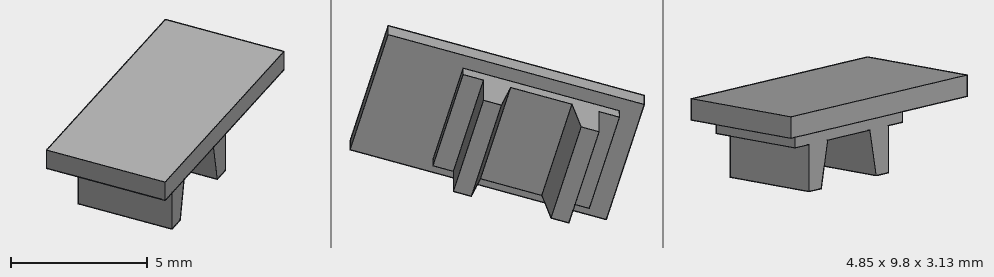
import cadquery as cq

plate_width = 4.85
plate_length = 9.8
plate_thickness = 0.8
total_height = 3.13

pad_width = 3.84
pad_length = 5.98
pad_thickness = 0.56
pad_center_y = -1.11

leg_span = 4.42
leg_root = 1.04
leg_foot = 0.69
leg_height = total_height - plate_thickness - pad_thickness

pad_bottom = leg_height
plate_bottom = pad_bottom + pad_thickness


def make_slab(width, length, thickness, center_y, bottom):
    """Rectangular slab centred in X, standing on the given level."""
    slab = cq.Workplane("XY").box(width, length, thickness, centered=(True, True, False))
    return slab.translate((0, center_y, bottom))


def make_leg(side):
    """Leg on the +Y (side=1) or -Y (side=-1) end, as wide as the pad."""
    outer_y = pad_center_y + side * leg_span / 2
    profile = [
        (outer_y, 0),
        (outer_y, pad_bottom),
        (outer_y - side * leg_root, pad_bottom),
        (outer_y - side * leg_foot, 0),
    ]
    return cq.Workplane("YZ").polyline(profile).close().extrude(pad_width / 2, both=True)


plate = make_slab(plate_width, plate_length, plate_thickness, 0, plate_bottom)
pad = make_slab(pad_width, pad_length, pad_thickness, pad_center_y, pad_bottom)

result = plate.union(pad)
for side in (1, -1):
    result = result.union(make_leg(side))